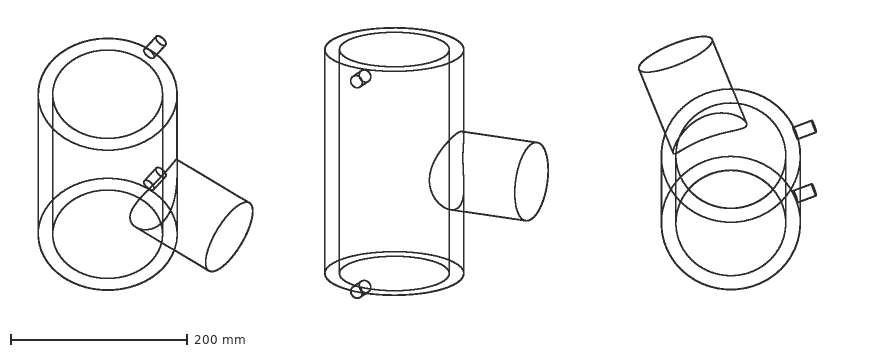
import cadquery as cq

tube_height = 268.0
tube_diameter = 158.0
bore_diameter = 125.0

branch_diameter = 90.0
branch_reach = 172.0

pin_diameter = 14.5
pin_reach = 101.5
pin_end_distance = 8.0

tube = cq.Workplane("XY").circle(tube_diameter / 2).extrude(tube_height)

branch = (
    cq.Workplane("YZ")
    .center(0, tube_height / 2)
    .circle(branch_diameter / 2)
    .extrude(branch_reach)
)


def make_pin(height):
    """Round pin from the tube axis toward +Y at the given height."""
    return (
        cq.Workplane("XZ")
        .center(0, height)
        .circle(pin_diameter / 2)
        .extrude(-pin_reach)
    )


body = tube.union(branch)
for pin_height in (pin_end_distance, tube_height - pin_end_distance):
    body = body.union(make_pin(pin_height))

bore = cq.Workplane("XY").circle(bore_diameter / 2).extrude(tube_height)
result = body.cut(bore)